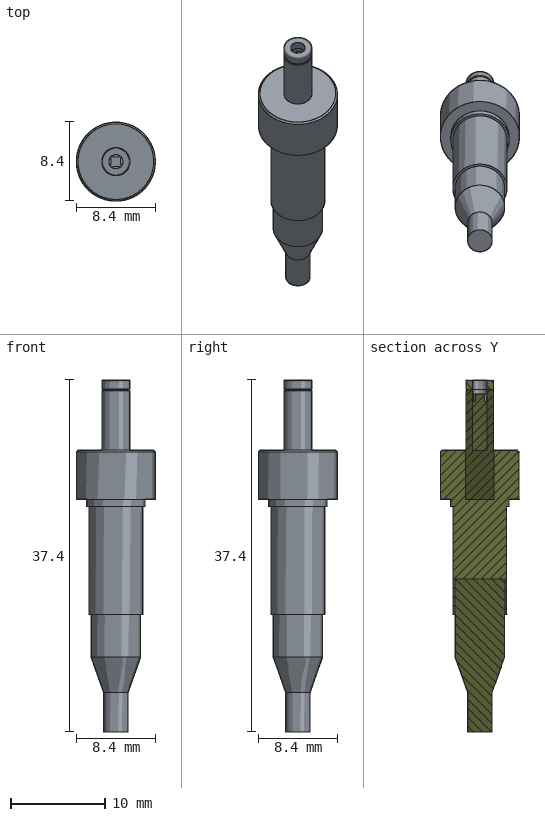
import cadquery as cq

TOTAL_HEIGHT = 37.4
FLANGE_TOP = 29.95
FLANGE_BOTTOM = 24.72
COLLAR_BOTTOM = 23.97
BARREL_BOTTOM = 12.5
CONE_TOP = 7.95
CONE_BOTTOM = 4.23

FLANGE_DIAMETER = 8.4
COLLAR_DIAMETER = 6.2
BARREL_DIAMETER = 5.75
FLANGE_CHAMFER = 0.2

SHANK_DIAMETER = 5.27
TIP_DIAMETER = 2.6
SHANK_INSERTION = 3.75
SHANK_TOP = BARREL_BOTTOM + SHANK_INSERTION

SLEEVE_DIAMETER = 3.0
BORE_DIAMETER = 1.5
EDGE_RADIUS = 0.1
NECK_DIAMETER = 2.85
NECK_HEIGHT = 0.15
SHOULDER_HEIGHT = 36.28
RING_BOTTOM = SHOULDER_HEIGHT + NECK_HEIGHT
SLEEVE_BOTTOM = FLANGE_BOTTOM
BORE_FLOOR = FLANGE_TOP

CONTACT_RECESS = 1.5
CONTACT_TOP = TOTAL_HEIGHT - CONTACT_RECESS
NOTCH_COUNT = 4
NOTCH_WIDTH = 0.65
NOTCH_SPACING = 1.0
NOTCH_LENGTH = 0.75


def cylinder(diameter, bottom, top):
    """Solid cylinder on the Z axis between two heights."""
    return cq.Workplane("XY").workplane(offset=bottom).circle(diameter / 2).extrude(top - bottom)


def make_housing():
    """Flanged barrel with a socket for the sleeve above and one for the nose below."""
    flange = cylinder(FLANGE_DIAMETER, FLANGE_BOTTOM, FLANGE_TOP).faces(">Z").chamfer(FLANGE_CHAMFER)
    collar = cylinder(COLLAR_DIAMETER, COLLAR_BOTTOM, FLANGE_BOTTOM)
    barrel = cylinder(BARREL_DIAMETER, BARREL_BOTTOM, COLLAR_BOTTOM)
    sleeve_socket = cylinder(SLEEVE_DIAMETER, SLEEVE_BOTTOM, FLANGE_TOP)
    nose_socket = cylinder(SHANK_DIAMETER, BARREL_BOTTOM, SHANK_TOP)
    return flange.union(collar).union(barrel).cut(sleeve_socket).cut(nose_socket)


def make_nose():
    """Turned shank that narrows through a cone to the tip."""
    shank_radius = SHANK_DIAMETER / 2
    tip_radius = TIP_DIAMETER / 2
    profile = (
        cq.Workplane("XZ")
        .lineTo(tip_radius, 0)
        .lineTo(tip_radius, CONE_BOTTOM)
        .lineTo(shank_radius, CONE_TOP)
        .lineTo(shank_radius, SHANK_TOP)
        .lineTo(0, SHANK_TOP)
        .close()
    )
    return profile.revolve(360, (0, 0, 0), (0, 1, 0))


def make_sleeve():
    """Tube with a rounded shoulder, a short neck above it and a blind bore."""
    tube = cylinder(SLEEVE_DIAMETER, SLEEVE_BOTTOM, SHOULDER_HEIGHT).faces(">Z").edges().fillet(EDGE_RADIUS)
    neck = cylinder(NECK_DIAMETER, SHOULDER_HEIGHT - EDGE_RADIUS, RING_BOTTOM)
    return tube.union(neck).cut(cylinder(BORE_DIAMETER, BORE_FLOOR, RING_BOTTOM))


def make_end_ring():
    """Ring on top of the neck, rounded along both outer edges."""
    ring = cylinder(SLEEVE_DIAMETER, RING_BOTTOM, TOTAL_HEIGHT).faces("|Z").edges().fillet(EDGE_RADIUS)
    return ring.cut(cylinder(BORE_DIAMETER, RING_BOTTOM, TOTAL_HEIGHT))


def make_contact():
    """Round plug with flat-floored notches evenly spaced around its rim."""
    contact = cylinder(BORE_DIAMETER, BORE_FLOOR, CONTACT_TOP)
    notches = (
        cq.Workplane("XY")
        .workplane(offset=CONTACT_TOP - NOTCH_LENGTH)
        .polarArray((NOTCH_SPACING + BORE_DIAMETER) / 2, 0, 360, NOTCH_COUNT)
        .rect(BORE_DIAMETER, NOTCH_WIDTH)
        .extrude(NOTCH_LENGTH)
    )
    return contact.cut(notches)


housing = make_housing()
nose = make_nose()
sleeve = make_sleeve()
end_ring = make_end_ring()
contact = make_contact()

result = cq.Compound.makeCompound(
    [housing.val(), nose.val(), sleeve.val(), end_ring.val(), contact.val()]
)